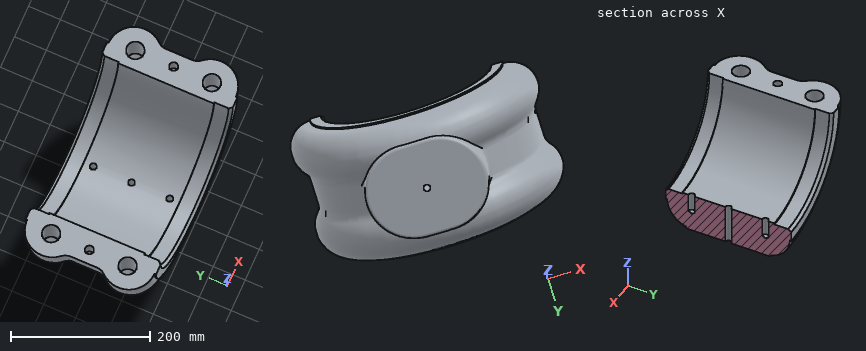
import cadquery as cq
import math


width = 205.0
lobe_radius = 40.0
lobe_center_radius = 145.0
lobe_center_y = 60.0
waist_radius = 170.0
waist_fillet = 20.0

bore_radius = 122.5
end_bore_radius = 124.5
end_bore_start = 75.0
mouth_chamfer_length = 5.0
mouth_chamfer_rise = 4.0

foot_length = 180.0
foot_width = 140.0
foot_bottom = -187.0
foot_edge_fillet = 5.0
foot_root_fillet = 10.0
core_half_length = 88.0

drill_tip_angle = 118.0
bolt_x = 150.0
bolt_y = 60.0
bolt_diameter = 26.5
bolt_depth = 60.0
pin_diameter = 13.0
pin_depth = 30.0
oil_diameter = 9.8
oil_pitch = 60.0
oil_depth = 30.0


def outer_section():
    """Closed outer half section in the XY plane, X being the radius from the bore axis."""
    fillet_center_x = waist_radius + waist_fillet
    center_distance = lobe_radius + waist_fillet
    radial_gap = fillet_center_x - lobe_center_radius
    axial_gap = math.sqrt(center_distance**2 - radial_gap**2)
    fillet_center_y = lobe_center_y - axial_gap
    tangent_x = lobe_center_radius + radial_gap * lobe_radius / center_distance
    tangent_y = lobe_center_y - axial_gap * lobe_radius / center_distance

    half_turn = math.atan2(axial_gap, radial_gap) / 2
    fillet_mid_x = fillet_center_x - waist_fillet * math.cos(half_turn)
    fillet_mid_y = fillet_center_y + waist_fillet * math.sin(half_turn)

    lobe_outer_x = lobe_center_radius + lobe_radius
    lobe_top_y = lobe_center_y + lobe_radius
    return (
        cq.Workplane("XY")
        .lineTo(waist_radius, 0)
        .lineTo(waist_radius, fillet_center_y)
        .threePointArc((fillet_mid_x, fillet_mid_y), (tangent_x, tangent_y))
        .threePointArc((lobe_outer_x, lobe_center_y), (lobe_center_radius, lobe_top_y))
        .lineTo(lobe_center_radius, width / 2)
        .lineTo(0, width / 2)
        .close()
    )


def lobed_body():
    """Solid half-round body with two lobes, below the joint face."""
    half = outer_section().revolve(180, (0, 0, 0), (0, 1, 0))
    return half.union(half.mirror("XZ"))


def foot_on_core():
    """Slot-shaped foot blended into a plain half cylinder of the waist radius."""
    core = (
        cq.Workplane("XZ")
        .moveTo(-waist_radius, 0)
        .threePointArc((0, -waist_radius), (waist_radius, 0))
        .close()
        .extrude(core_half_length, both=True)
    )
    pad = (
        cq.Workplane("XY")
        .workplane(offset=foot_bottom)
        .slot2D(foot_length, foot_width)
        .extrude(-foot_bottom - bore_radius)
    )
    joint_box = cq.selectors.BoxSelector(
        (-foot_length, -foot_width, foot_bottom + foot_edge_fillet),
        (foot_length, foot_width, -bore_radius),
        boundingbox=True,
    )
    return core.union(pad).edges(joint_box).fillet(foot_root_fillet)


def bore():
    """Lower half of the stepped bore, with a chamfered mouth at each end."""
    half_width = width / 2
    chamfer_start = half_width - mouth_chamfer_length
    mouth_radius = end_bore_radius + mouth_chamfer_rise
    half = (
        cq.Workplane("XY")
        .lineTo(bore_radius, 0)
        .lineTo(bore_radius, end_bore_start)
        .lineTo(end_bore_radius, end_bore_start)
        .lineTo(end_bore_radius, chamfer_start)
        .lineTo(mouth_radius, half_width)
        .lineTo(0, half_width)
        .close()
        .revolve(180, (0, 0, 0), (0, 1, 0))
    )
    return half.union(half.mirror("XZ"))


def drilled_hole(x, y, top, diameter, depth):
    """Blind hole going down from the given top height to a conical drill tip."""
    radius = diameter / 2
    tip = radius / math.tan(math.radians(drill_tip_angle / 2))
    return (
        cq.Workplane("XZ", origin=(x, y, top))
        .polyline([(0, 0), (radius, 0), (radius, -depth), (0, -depth - tip)])
        .close()
        .revolve(360, (0, 0, 0), (0, 1, 0))
    )


def oil_hole(y):
    """Blind hole in the bottom of the bore, started above the bore surface."""
    lead_in = oil_diameter
    return drilled_hole(0, y, lead_in - bore_radius, oil_diameter, oil_depth + lead_in)


result = lobed_body().union(foot_on_core())
result = result.faces("<Z").edges().fillet(foot_edge_fillet)
result = result.cut(bore())

for side in (-1, 1):
    result = result.cut(drilled_hole(side * bolt_x, 0, 0, pin_diameter, pin_depth))
    result = result.cut(oil_hole(side * oil_pitch))
    for end in (-1, 1):
        bolt_hole = drilled_hole(side * bolt_x, end * bolt_y, 0, bolt_diameter, bolt_depth)
        result = result.cut(bolt_hole)

center_hole = cq.Workplane("XY").circle(oil_diameter / 2).extrude(foot_bottom)
result = result.cut(center_hole)